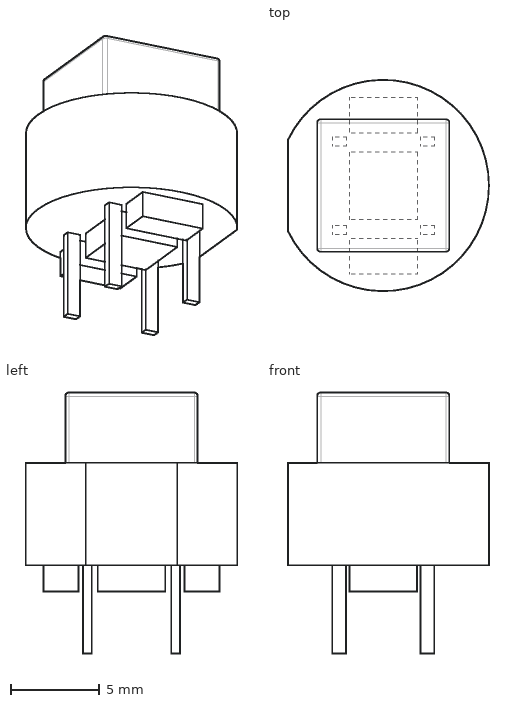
import cadquery as cq

body_radius = 6.0
flat_x = -5.4
body_height = 5.8
cap_side = 7.5
cap_height = 4.0
cap_edge_radius = 0.2
pin_size_x = 0.8
pin_size_y = 0.5
pin_length = 5.0
pin_pitch = 5.0
foot_height = 1.5
foot_length_x = 3.85
centre_foot_width = 3.85
outer_foot_width = 2.0
outer_foot_offset = 4.0


def make_body():
    """Round body with one flat side."""
    disc = cq.Workplane("XY").circle(body_radius).extrude(body_height)
    cutter = (
        cq.Workplane("XY")
        .rect(2 * body_radius, 2 * body_radius)
        .extrude(body_height)
        .translate((flat_x - body_radius, 0, 0))
    )
    return disc.cut(cutter)


def make_cap():
    """Square push cap with rounded upright and top edges."""
    cap = cq.Workplane("XY").workplane(offset=body_height).rect(cap_side, cap_side).extrude(cap_height)
    return cap.edges("|Z or >Z").fillet(cap_edge_radius)


def make_pins():
    """Four rectangular pins on a square grid."""
    return (
        cq.Workplane("XY")
        .rarray(pin_pitch, pin_pitch, 2, 2)
        .rect(pin_size_x, pin_size_y)
        .extrude(-pin_length)
    )


def make_foot(centre_y, width_y):
    """Rectangular standoff under the body."""
    return cq.Workplane("XY").center(0, centre_y).rect(foot_length_x, width_y).extrude(-foot_height)


result = make_body().union(make_cap()).union(make_pins())
result = result.union(make_foot(0, centre_foot_width))
for side in (-1, 1):
    result = result.union(make_foot(side * outer_foot_offset, outer_foot_width))